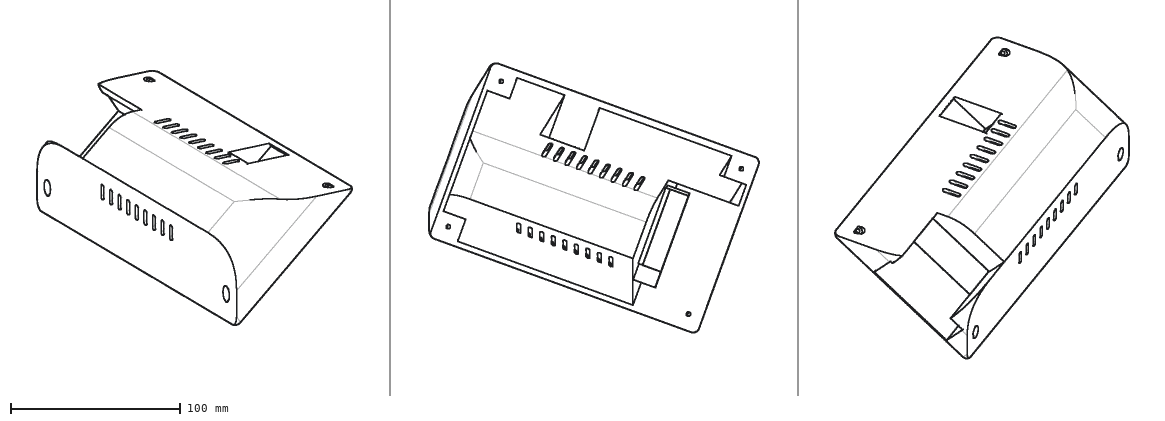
import cadquery as cq
import math


width = 172.6
base_depth = 110.5
height = 47.8
tilt = 30.0
back_angle = 45.0
round_radius = 25.0
corner_diameter = 7.5
wall = 3.0
floor = 1.2

vent_count = 9
vent_pitch = 7.5
vent_width = 2.5
vent_length = 9.0
vent_middle = 34.2

screw_side_inset = 9.0
screw_front_inset = 9.7
screw_back_inset = 9.3
shank_diameter = 2.5
head_diameter = 5.5
head_seat = 7.8
post_size = 17.3

bay_front = 17.6
bay_back = 77.0
bay_ceiling = 24.0
bay_floor_width = 33.3
well_front = height * math.tan(math.radians(tilt))
well_back = 75.3
well_width = 39.5
partition_bottom = 26.4
bay_width = well_width + wall

pocket_left = 105.1
pocket_width = 16.7
pocket_front = 79.4
pocket_back = 106.1
pocket_ceiling = 28.3


def box(x_range, y_range, z_range):
    """Box between the given limits along each axis."""
    sizes = [high - low for low, high in (x_range, y_range, z_range)]
    corner = (x_range[0], y_range[0], z_range[0])
    return cq.Workplane("XY").box(*sizes, centered=False).translate(corner)


def rounded_body(inset):
    """Case body with all faces but the base moved inward by inset.

    The roof meets the back in an arc, and each side in a parabola.
    """
    top = height - inset
    radius = round_radius - inset
    front = inset / math.cos(math.radians(tilt))
    back = base_depth - inset / math.sin(math.radians(back_angle))
    roof_front = front + top * math.tan(math.radians(tilt))
    roof_back = back - top / math.tan(math.radians(back_angle))
    side_profile = (
        cq.Workplane("YZ")
        .polyline([(front, 0), (back, 0), (roof_back, top), (roof_front, top)])
        .close()
        .extrude(width)
        .faces(">Z").edges(">Y").fillet(radius)
    )
    left = inset
    right = width - inset
    shoulder = top - radius
    cross_section = (
        cq.Workplane("XZ")
        .moveTo(left, 0)
        .lineTo(left, shoulder)
        .bezier([(left, shoulder), (left, top), (left + radius, top)])
        .lineTo(right - radius, top)
        .bezier([(right - radius, top), (right, top), (right, shoulder)])
        .lineTo(right, 0)
        .close()
        .extrude(-base_depth)
    )
    return side_profile.intersect(cross_section)


def outer_body():
    """Outside of the case, with its base corners rounded."""
    footprint = box((0, width), (0, base_depth), (0, height)).edges("|Z").fillet(corner_diameter / 2)
    return rounded_body(0).intersect(footprint)


def screw_posts():
    """Square posts that fill the four corners around the screw holes."""
    post = box((0, post_size), (0, post_size), (0, height))
    posts = cq.Workplane("XY")
    for x in (0, width - post_size):
        for y in (0, base_depth - post_size):
            posts = posts.add(post.translate((x, y, 0)))
    return posts.combine()


def pocket_housing():
    """Block that becomes the floor and side walls of the connector pocket."""
    x_range = (pocket_left - wall, pocket_left + pocket_width + wall)
    return box(x_range, (pocket_front, base_depth), (0, height))


def pocket_cut():
    """Opening through the back face, with the pocket's front left open to the cavity."""
    x_range = (pocket_left, pocket_left + pocket_width)
    return box(x_range, (pocket_front, pocket_back), (floor, pocket_ceiling))


def bay_cut():
    """Bay open to the left, with a well up through the roof and a slot in its floor."""
    bay = box((0, bay_width), (bay_front, bay_back), (floor, bay_ceiling))
    well = box((0, well_width), (well_front, well_back), (floor, height))
    under_partition = box((0, bay_width), (well_front, well_back), (floor, partition_bottom))
    floor_slot = box((bay_floor_width, bay_width), (bay_front, bay_back), (0, bay_ceiling))
    return bay.union(well).union(under_partition).union(floor_slot)


def vent_cut():
    """Row of slots running from the front face through to the back face."""
    return (
        cq.Workplane("XZ", origin=(width / 2, 0, vent_middle))
        .rarray(vent_pitch, 1.7, vent_count, 1)
        .slot2D(vent_length, vent_width, 90)
        .extrude(-base_depth)
    )


def screw_cut():
    """Through holes at the corners, each with a head bore from above."""
    side_positions = (screw_side_inset, width - screw_side_inset)
    depth_positions = (screw_front_inset, base_depth - screw_back_inset)
    positions = [(x, y) for x in side_positions for y in depth_positions]
    centers = cq.Workplane("XY").pushPoints(positions)
    shanks = centers.circle(shank_diameter / 2).extrude(height)
    heads = centers.circle(head_diameter / 2).extrude(height - head_seat).translate((0, 0, head_seat))
    return shanks.union(heads)


outside = outer_body()
bay_block = box((0, bay_width), (0, bay_back + wall), (0, height))
fillings = bay_block.union(screw_posts()).union(pocket_housing()).intersect(outside)

case = outside.cut(rounded_body(wall)).union(fillings)
for cutter in (bay_cut(), pocket_cut(), vent_cut(), screw_cut()):
    case = case.cut(cutter)

result = case.rotate((0, 0, 0), (1, 0, 0), tilt)